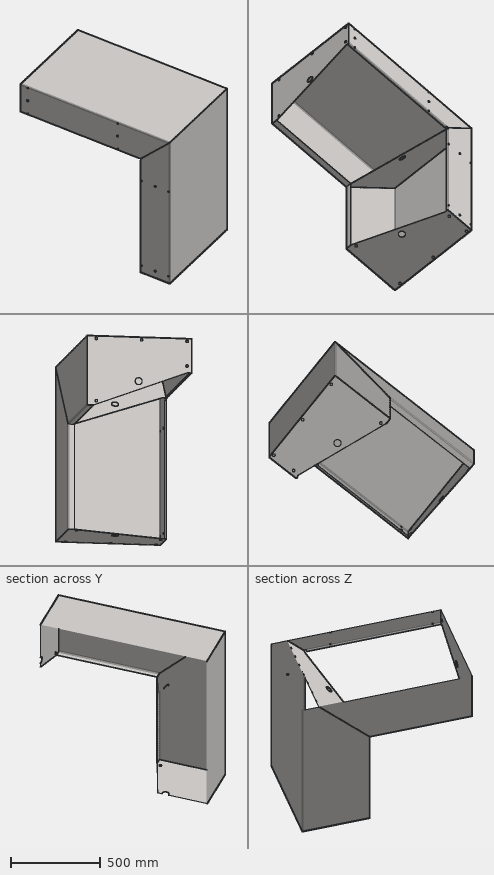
import cadquery as cq
import math


LENGTH = 1000.0
WIDTH = 600.0
FRONT_DEPTH = 200.0
BACK_DEPTH = 400.0
FRONT_LIP = 14.0
BACK_LIP = 38.0
LIP_RELIEF = 8.0

SHEET = 4.0
BEND_INSIDE = 1.6
BEND_OUTSIDE = BEND_INSIDE + SHEET

PLATE_FRONT_LAND = 26.0
PLATE_BACK_LAND = 42.0

FLANGE_HOLE_STATIONS = (50.0, 650.0)
FLANGE_HOLE_DIAMETER = 12.0
FLANGE_HOLE_DEPTH = 99.0
BEND_HOLE_DIAMETER = 8.0
BEND_HOLE_INSET = 10.0

BOLT_HOLE_DIAMETER = 15.0
BOLT_TOP_DEPTH = 17.0
BOLT_FRONT_Y = -272.0
BOLT_BACK_Y = 245.0
BOLT_HOLES = (
    (BOLT_BACK_Y, BOLT_TOP_DEPTH),
    (-13.0, BOLT_TOP_DEPTH),
    (BOLT_FRONT_Y, BOLT_TOP_DEPTH),
    (BOLT_FRONT_Y, 158.0),
    (BOLT_BACK_Y, 372.0),
)
CABLE_HOLE_DIAMETER = 40.0
CABLE_HOLE_Y = 4.0
CABLE_HOLE_DEPTH = 253.0
GUSSET_HOLE_DEPTH = 249.0

FRONT = -WIDTH / 2
BACK = WIDTH / 2
MITRE_NORMAL = (1, 0, -1)


def prism(outline, bend_radius, length):
    """Extrude an outline of (Y, depth) points along X and round its front and back corners."""
    points = [(y, LENGTH - depth) for y, depth in outline]
    body = cq.Workplane("YZ").polyline(points).close().extrude(length)
    body = body.edges("|X").edges("<Y").fillet(bend_radius)
    return body.edges("|X").edges(">Y").fillet(bend_radius)


def xz_prism(points):
    """Extrude an outline of (X, Z) points over the whole width of the duct."""
    return cq.Workplane("XZ").polyline(points).close().extrude(WIDTH, both=True)


def mirrored(body):
    """Swap X and Z."""
    return body.mirror(cq.Vector(*MITRE_NORMAL))


def make_leg():
    front_mouth = FRONT + FRONT_LIP
    back_mouth = BACK - BACK_LIP
    outer = [
        (FRONT, 0),
        (BACK, 0),
        (BACK, BACK_DEPTH),
        (back_mouth, BACK_DEPTH),
        (front_mouth, FRONT_DEPTH),
        (FRONT, FRONT_DEPTH),
    ]
    inner = [
        (FRONT + SHEET, SHEET),
        (BACK - SHEET, SHEET),
        (BACK - SHEET, BACK_DEPTH - SHEET),
        (back_mouth, BACK_DEPTH - SHEET),
        (back_mouth, BACK_DEPTH),
        (front_mouth, FRONT_DEPTH),
        (front_mouth, FRONT_DEPTH - SHEET),
        (FRONT + SHEET, FRONT_DEPTH - SHEET),
    ]
    leg = prism(outer, BEND_OUTSIDE, LENGTH).cut(prism(inner, BEND_INSIDE, LENGTH))
    mitre_side = xz_prism([(0, 0), (LENGTH, LENGTH), (0, LENGTH)])
    return leg.intersect(mitre_side).cut(flange_holes()).cut(lip_relief())


def lip_relief():
    """Shorten the front lip so that the two lips stay clear of each other at the mitre."""
    lip_top = LENGTH - FRONT_DEPTH + BEND_OUTSIDE
    lip_end = LENGTH - FRONT_DEPTH - LIP_RELIEF
    block = cq.Workplane("XY").box(FRONT_DEPTH, FRONT_LIP, FRONT_DEPTH, centered=False)
    return block.translate((lip_end, FRONT, lip_top - FRONT_DEPTH))


def flange_holes():
    def row(depth, diameter):
        centres = [(x, LENGTH - depth) for x in FLANGE_HOLE_STATIONS]
        drill = cq.Workplane("XZ", origin=(0, FRONT + BEND_OUTSIDE, 0)).pushPoints(centres)
        return drill.circle(diameter / 2).extrude(WIDTH)

    holes = row(FLANGE_HOLE_DEPTH, FLANGE_HOLE_DIAMETER)
    holes = holes.union(row(BEND_HOLE_INSET, BEND_HOLE_DIAMETER))
    return holes.union(row(FRONT_DEPTH - BEND_HOLE_INSET, BEND_HOLE_DIAMETER))


def plate_outline(inset):
    """Outline that fills the inside of a leg down to a sloped edge, shortened at both ends by inset."""
    top = SHEET + inset
    front_bottom = FRONT_DEPTH - SHEET - inset
    back_bottom = BACK_DEPTH - SHEET - inset
    return [
        (FRONT + SHEET, top),
        (BACK - SHEET, top),
        (BACK - SHEET, back_bottom),
        (BACK - PLATE_BACK_LAND, back_bottom),
        (FRONT + PLATE_FRONT_LAND, front_bottom),
        (FRONT + SHEET, front_bottom),
    ]


def make_end_plate():
    def drill(centres, diameter):
        points = [(y, LENGTH - depth) for y, depth in centres]
        return cq.Workplane("YZ").pushPoints(points).circle(diameter / 2).extrude(SHEET)

    plate = prism(plate_outline(0), BEND_INSIDE, SHEET)
    plate = plate.cut(drill(BOLT_HOLES, BOLT_HOLE_DIAMETER))
    return plate.cut(drill([(CABLE_HOLE_Y, CABLE_HOLE_DEPTH)], CABLE_HOLE_DIAMETER))


def make_gusset():
    stretch = math.sqrt(2)
    inset = SHEET / 2 / stretch
    outline = [(y, -depth * stretch) for y, depth in plate_outline(inset)]
    mitre_plane = cq.Plane((LENGTH, 0, LENGTH), xDir=(0, 1, 0), normal=MITRE_NORMAL)
    gusset = cq.Workplane(mitre_plane).polyline(outline).close().extrude(SHEET / 2, both=True)
    for side in ("<Y", ">Y"):
        gusset = gusset.edges(f"|{MITRE_NORMAL}").edges(side).fillet(BEND_INSIDE * stretch)
    hole = cq.Workplane(mitre_plane).center(CABLE_HOLE_Y, -GUSSET_HOLE_DEPTH * stretch)
    return gusset.cut(hole.circle(CABLE_HOLE_DIAMETER / 2).extrude(SHEET, both=True))


leg = make_leg()
end_plate = make_end_plate()
gusset = make_gusset()

bodies = [gusset.val()]
for body in (leg, end_plate):
    bodies += [body.val(), mirrored(body).val()]

result = cq.Compound.makeCompound(bodies)